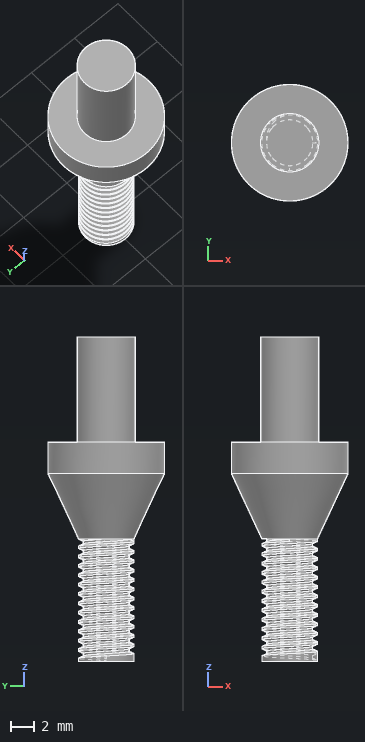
import cadquery as cq

total_height = 27.8
pin_height = 9.0
collar_height = 2.7
cone_height = 5.6
shank_height = total_height - pin_height - collar_height - cone_height

pin_radius = 2.5
collar_radius = 5.0
shank_radius = 2.4

thread_root_radius = 1.97
thread_turns = 12.75
thread_rise = 10.2
thread_pitch = thread_rise / thread_turns
thread_start_z = 0.4
groove_root_width = 0.22
groove_mouth_width = 0.6
groove_overshoot = 0.08


def make_body():
    """Cone, collar and pin above the shank, as one revolved profile."""
    collar_bottom = shank_height + cone_height
    collar_top = collar_bottom + collar_height
    return (
        cq.Workplane("XZ")
        .moveTo(0, shank_height)
        .lineTo(shank_radius, shank_height)
        .lineTo(collar_radius, collar_bottom)
        .lineTo(collar_radius, collar_top)
        .lineTo(pin_radius, collar_top)
        .lineTo(pin_radius, total_height)
        .lineTo(0, total_height)
        .close()
        .revolve(360, (0, 0, 0), (0, 1, 0))
    )


def make_groove():
    """Trapezoid carried along the thread helix, bounded by ruled faces between its corner helices."""
    flank_slope = (groove_mouth_width - groove_root_width) / (2 * (shank_radius - thread_root_radius))
    cutter_radius = shank_radius + groove_overshoot
    root_half = groove_root_width / 2
    outer_half = groove_mouth_width / 2 + flank_slope * groove_overshoot
    corners = [
        (thread_root_radius, thread_start_z - root_half),
        (cutter_radius, thread_start_z - outer_half),
        (cutter_radius, thread_start_z + outer_half),
        (thread_root_radius, thread_start_z + root_half),
    ]
    helices = [
        cq.Wire.makeHelix(thread_pitch, thread_rise, radius, center=cq.Vector(0, 0, z))
        for radius, z in corners
    ]
    faces = [
        cq.Face.makeRuledSurface(helices[i - 1].Edges()[0], helices[i].Edges()[0])
        for i in range(len(helices))
    ]
    for end in (0, 1):
        end_points = [helix.positionAt(end) for helix in helices]
        faces.append(cq.Face.makeFromWires(cq.Wire.makePolygon(end_points, close=True)))
    return cq.Workplane(cq.Solid.makeSolid(cq.Shell.makeShell(faces)))


def make_shank():
    """Threaded shank; the groove is cut before the cone covers its upper end."""
    seam_angle = 180
    shank = cq.Workplane("XY").circle(shank_radius).extrude(shank_height)
    return shank.rotate((0, 0, 0), (0, 0, 1), seam_angle).cut(make_groove())


threaded_part = make_shank().union(make_body())
result = cq.Workplane(threaded_part.solids().val())